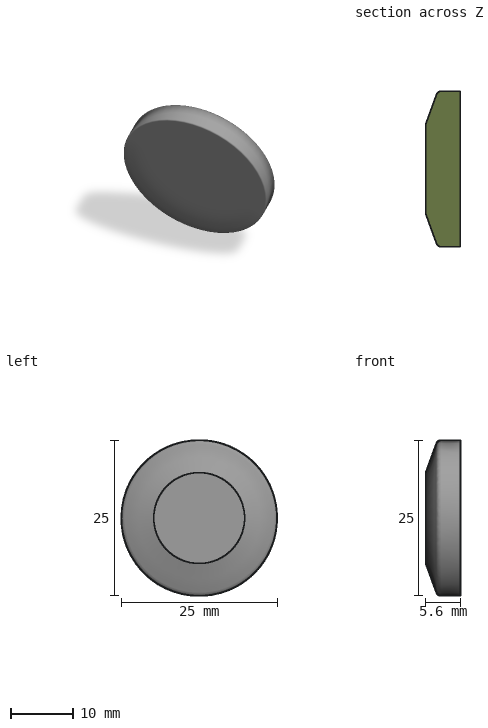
import cadquery as cq
import math

outer_diameter = 25.0
thickness = 5.6
face_diameter = 14.58
cone_angle = 20.0
shoulder_radius = 0.8
back_edge_radius = 0.2

outer_radius = outer_diameter / 2
face_radius = face_diameter / 2
cone_depth = (outer_radius - face_radius) * math.tan(math.radians(cone_angle))

disc = (
    cq.Workplane("XY")
    .moveTo(0, 0)
    .lineTo(0, face_radius)
    .lineTo(cone_depth, outer_radius)
    .lineTo(thickness, outer_radius)
    .lineTo(thickness, 0)
    .close()
    .revolve(360, (0, 0, 0), (1, 0, 0))
)

selection_margin = 0.25
shoulder_selector = cq.selectors.BoxSelector(
    (cone_depth - selection_margin, -outer_diameter, -outer_diameter),
    (cone_depth + selection_margin, outer_diameter, outer_diameter),
    boundingbox=True,
)
disc = disc.edges("%CIRCLE").edges(shoulder_selector).fillet(shoulder_radius)

disc = disc.faces(">X").edges().fillet(back_edge_radius)
result = disc.translate((-thickness / 2, 0, 0))